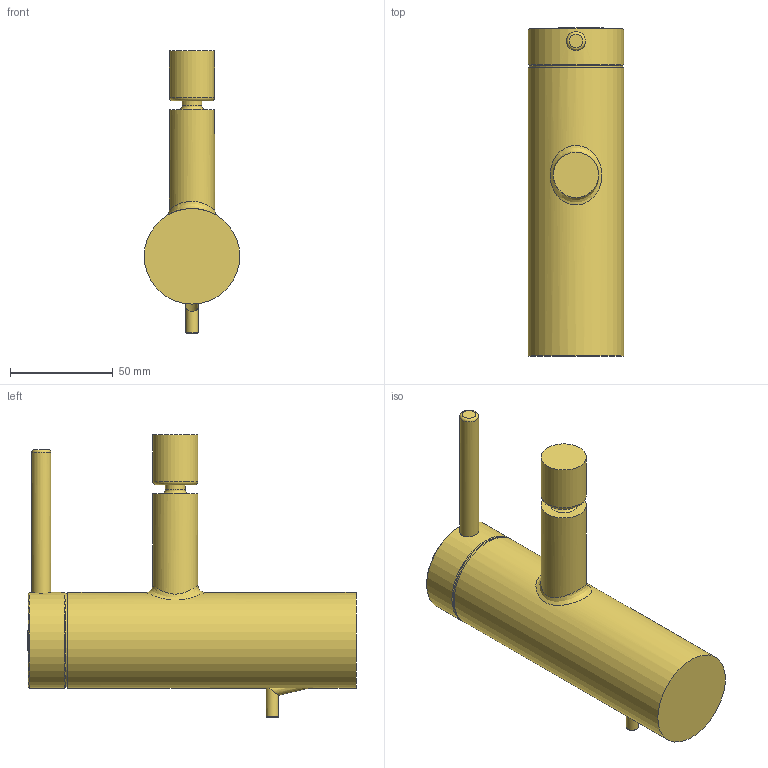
import cadquery as cq
import math


body_radius = 23.25
body_length = 140.3
groove_width = 1.1
groove_depth = 0.5
cap_front = body_length + groove_width
cap_back = 159.75
cap_dome_height = 0.15
cap_edge_chamfer = 0.4

spout_y = 88.0
spout_radius = 11.0
spout_root_fillet = 3.5
spout_shoulder_z = 71.4
neck_radius = 4.8
neck_fillet = 1.8
knob_bottom_z = 75.6
knob_top_z = 100.0
knob_edge_radius = 1.8

lever_y = 153.2
lever_radius = 4.6
lever_top_z = 92.8
lever_end_fillet = 1.3

rod_radius = 3.0
rod_y = 40.8
rod_bottom_z = -37.44
rod_bend_z = -24.4
rod_slope = math.radians(13)
rod_run = 30.0
rod_chamfer = 0.2


def upright_cylinder(y, radius, z_bottom, z_top):
    """Vertical cylinder on the X = 0 plane."""
    base = cq.Workplane("XY").workplane(offset=z_bottom).center(0, y)
    return base.circle(radius).extrude(z_top - z_bottom)


def lengthwise_cylinder(radius, y_front, y_back):
    """Cylinder on the body axis."""
    base = cq.Workplane("XZ").workplane(offset=-y_front)
    return base.circle(radius).extrude(y_front - y_back)


def body_with_spout():
    """Body tube and spout, blended where they meet."""
    body = lengthwise_cylinder(body_radius, 0, body_length)
    spout = upright_cylinder(spout_y, spout_radius, 0, spout_shoulder_z)
    joined = body.union(spout)
    root_zone = cq.selectors.BoxSelector(
        (-body_radius, spout_y - body_radius, 0),
        (body_radius, spout_y + body_radius, (body_radius + spout_shoulder_z) / 2),
        boundingbox=True,
    )
    return joined.edges(root_zone).fillet(spout_root_fillet)


def cap():
    """Rear cap with a slightly domed end, and the recessed joint in front of it."""
    joint_radius = body_radius - groove_depth
    rim_radius = body_radius - cap_edge_chamfer
    rim_y = cap_back - cap_dome_height
    dome_radius = (rim_radius**2 + cap_dome_height**2) / (2 * cap_dome_height)
    profile = (
        cq.Workplane("XY")
        .moveTo(0, body_length)
        .lineTo(joint_radius, body_length)
        .lineTo(joint_radius, cap_front)
        .lineTo(rim_radius, cap_front)
        .lineTo(body_radius, cap_front + cap_edge_chamfer)
        .lineTo(body_radius, rim_y - cap_edge_chamfer)
        .lineTo(rim_radius, rim_y)
        .radiusArc((0, cap_back), -dome_radius)
        .close()
    )
    return profile.revolve(360, (0, 0, 0), (0, 1, 0))


def neck_and_knob():
    """Revolved neck with a flared foot, carrying the end knob."""
    profile = (
        cq.Workplane("YZ")
        .moveTo(0, spout_shoulder_z)
        .lineTo(neck_radius + neck_fillet, spout_shoulder_z)
        .radiusArc((neck_radius, spout_shoulder_z + neck_fillet), neck_fillet)
        .lineTo(neck_radius, knob_bottom_z)
        .lineTo(spout_radius - knob_edge_radius, knob_bottom_z)
        .radiusArc((spout_radius, knob_bottom_z + knob_edge_radius), -knob_edge_radius)
        .lineTo(spout_radius, knob_top_z)
        .lineTo(0, knob_top_z)
        .close()
    )
    return profile.revolve(360, (0, 0, 0), (0, 1, 0)).translate((0, spout_y, 0))


def lever():
    """Round lever standing on the cap."""
    return upright_cylinder(lever_y, lever_radius, 0, lever_top_z).faces(">Z").edges().fillet(lever_end_fillet)


def drain_rod():
    """Round rod leaving the body at a shallow slope and turning down at a mitred bend."""
    path = (
        cq.Workplane("YZ")
        .moveTo(rod_y, rod_bottom_z)
        .lineTo(rod_y, rod_bend_z)
        .lineTo(rod_y - rod_run * math.cos(rod_slope), rod_bend_z + rod_run * math.sin(rod_slope))
    )
    section = cq.Workplane("XY").workplane(offset=rod_bottom_z).center(0, rod_y).circle(rod_radius)
    return section.sweep(path, transition="right").faces("<Z").chamfer(rod_chamfer)


result = body_with_spout().union(cap()).union(neck_and_knob()).union(lever()).union(drain_rod())